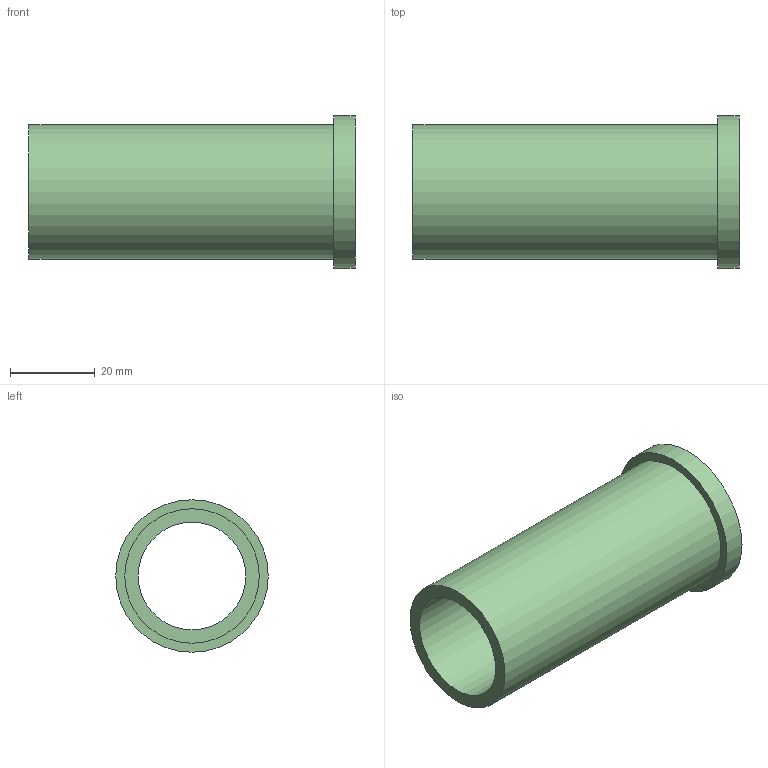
import cadquery as cq

total_length = 77.0
flange_length = 5.0
flange_diameter = 36.0
sleeve_diameter = 31.75
bore_diameter = 25.38


def cylinder_along_x(diameter, start_x, length):
    """Solid cylinder on the X axis, running from start_x toward +X."""
    return cq.Workplane("YZ", origin=(start_x, 0, 0)).circle(diameter / 2).extrude(length)


sleeve = cylinder_along_x(sleeve_diameter, 0, total_length)
flange = cylinder_along_x(flange_diameter, total_length - flange_length, flange_length)
bore = cylinder_along_x(bore_diameter, 0, total_length)

result = sleeve.union(flange).cut(bore)